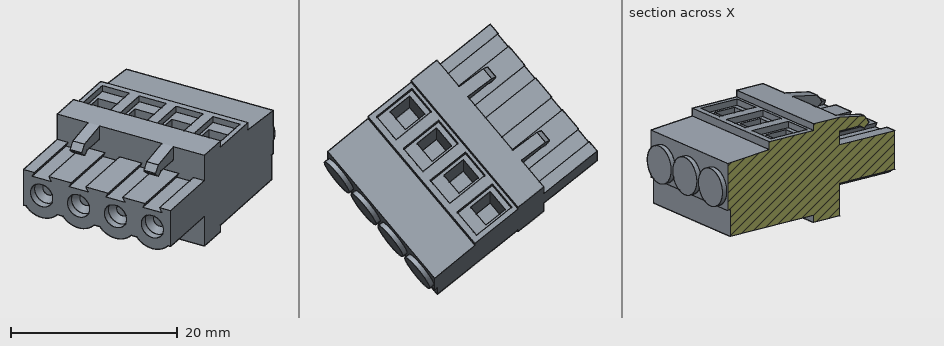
import cadquery as cq


WAYS = 4
PITCH = 5.08
WIDTH = 20.26
WAY_CENTRES = [(i - (WAYS - 1) / 2) * PITCH for i in range(WAYS)]

FLANGE_FRONT = 8.3
FLANGE_BACK = 12.3
DECK_BACK = 19.0
LOWER_BACK = 24.85
UPPER_BACK = 25.25
OVERALL_LENGTH = 25.9

FLANGE_TOP = 12.6
BODY_BOTTOM = 0.9
DECK_TOP = 11.75
SLOPE_FRONT_TOP = 10.75
SLOPE_BACK_TOP = 10.3
LEDGE_LEVEL = 4.3

PLUG_TOP = 9.1
PLUG_BOTTOM = 4.13
LOBE_HALF_WIDTH = 2.15
LOBE_DROP = 1.0
GROOVE_DEPTH = 0.6
GROOVE_TOP_WIDTH = 2.0
GROOVE_FLOOR_WIDTH = 2.6

CONTACT_LEVEL = 6.19
CONTACT_MOUTH_DIAMETER = 3.05
CONTACT_FLOOR_DIAMETER = 1.6
CONTACT_MOUTH_DEPTH = 1.0
CONTACT_CONE_DEPTH = (CONTACT_MOUTH_DIAMETER - CONTACT_FLOOR_DIAMETER) / 2

POCKET_WIDTH = 3.7
POCKET_FRONT = 12.72
POCKET_BACK = 18.2
POCKET_DEPTH = 0.8
WELL_WIDTH = 2.87
WELL_FRONT = 13.4
WELL_BACK = 16.43
WELL_FLOOR = 5.0

SCREW_DIAMETER = 4.75
SCREW_LEVEL = 6.7

LATCH_WIDTH = 1.6
LATCH_CENTRES = [-PITCH, PITCH]
LATCH_UNDERSIDE = 10.78
LATCH_NOSE = [
    (4.57, 11.95),
    (3.9, 11.1),
    (3.9, 10.93),
    (4.6, 10.35),
    (5.25, LATCH_UNDERSIDE),
]


def extrude_across(points, width, centre=0.0):
    """Extrude a closed (Y, Z) outline along X, centred on the given X."""
    start = centre - width / 2
    return cq.Workplane("YZ").workplane(offset=start).polyline(points).close().extrude(width)


def box_between(width, centre, y_range, z_range):
    """Box of the given X width spanning the given Y and Z ranges."""
    (y_front, y_back), (z_low, z_high) = y_range, z_range
    box = cq.Workplane("XY").box(width, y_back - y_front, z_high - z_low, centered=(True, False, False))
    return box.translate((centre, y_front, z_low))


def make_housing():
    """Stepped main body with its flange."""
    return extrude_across(
        [
            (FLANGE_FRONT, 0),
            (FLANGE_BACK, 0),
            (FLANGE_BACK, BODY_BOTTOM),
            (LOWER_BACK, BODY_BOTTOM),
            (LOWER_BACK, LEDGE_LEVEL),
            (UPPER_BACK, LEDGE_LEVEL),
            (UPPER_BACK, SLOPE_BACK_TOP),
            (DECK_BACK, SLOPE_FRONT_TOP),
            (DECK_BACK, DECK_TOP),
            (FLANGE_BACK, DECK_TOP),
            (FLANGE_BACK, FLANGE_TOP),
            (FLANGE_FRONT, FLANGE_TOP),
        ],
        WIDTH,
    )


def make_plug():
    """Plug with a dovetail groove above and a rounded lobe below each way."""
    outline = cq.Workplane("XZ").moveTo(-WIDTH / 2, PLUG_TOP).lineTo(-WIDTH / 2, PLUG_BOTTOM)
    for x in WAY_CENTRES:
        outline = outline.lineTo(x - LOBE_HALF_WIDTH, PLUG_BOTTOM).threePointArc(
            (x, PLUG_BOTTOM - LOBE_DROP), (x + LOBE_HALF_WIDTH, PLUG_BOTTOM)
        )
    outline = outline.lineTo(WIDTH / 2, PLUG_BOTTOM).lineTo(WIDTH / 2, PLUG_TOP)
    for x in reversed(WAY_CENTRES):
        groove_floor = PLUG_TOP - GROOVE_DEPTH
        outline = (
            outline.lineTo(x + GROOVE_TOP_WIDTH / 2, PLUG_TOP)
            .lineTo(x + GROOVE_FLOOR_WIDTH / 2, groove_floor)
            .lineTo(x - GROOVE_FLOOR_WIDTH / 2, groove_floor)
            .lineTo(x - GROOVE_TOP_WIDTH / 2, PLUG_TOP)
        )
    return outline.close().extrude(-FLANGE_FRONT)


def make_latch(centre):
    """Hooked latch reaching forward from the top of the flange."""
    root_top = (FLANGE_FRONT, FLANGE_TOP)
    root_bottom = (FLANGE_FRONT, LATCH_UNDERSIDE)
    return extrude_across([root_top, *LATCH_NOSE, root_bottom], LATCH_WIDTH, centre)


def make_screw_head(centre):
    """Round screw head standing out of the back face."""
    head = cq.Workplane("XZ", origin=(centre, LOWER_BACK, SCREW_LEVEL)).circle(SCREW_DIAMETER / 2)
    return head.extrude(LOWER_BACK - OVERALL_LENGTH)


def make_contact_hole(centre):
    """Blind hole: a straight mouth, then a cone narrowing to a flat floor."""
    mouth_radius = CONTACT_MOUTH_DIAMETER / 2
    floor_radius = CONTACT_FLOOR_DIAMETER / 2
    hole_depth = CONTACT_MOUTH_DEPTH + CONTACT_CONE_DEPTH
    half_section = (
        cq.Workplane("XY")
        .moveTo(0, 0)
        .lineTo(mouth_radius, 0)
        .lineTo(mouth_radius, CONTACT_MOUTH_DEPTH)
        .lineTo(floor_radius, hole_depth)
        .lineTo(0, hole_depth)
        .close()
    )
    hole = half_section.revolve(360, (0, 0, 0), (0, 1, 0))
    return hole.translate((centre, 0, CONTACT_LEVEL))


def make_wire_pocket(centre):
    """Shallow recess in the deck with a deeper wire well in its floor."""
    recess_floor = DECK_TOP - POCKET_DEPTH
    recess = box_between(
        POCKET_WIDTH, centre, (POCKET_FRONT, POCKET_BACK), (recess_floor, DECK_TOP)
    )
    well = box_between(WELL_WIDTH, centre, (WELL_FRONT, WELL_BACK), (WELL_FLOOR, recess_floor))
    return recess.union(well)


result = make_housing().union(make_plug())

for x in LATCH_CENTRES:
    result = result.union(make_latch(x))

for x in WAY_CENTRES:
    result = result.union(make_screw_head(x))
    result = result.cut(make_contact_hole(x))
    result = result.cut(make_wire_pocket(x))